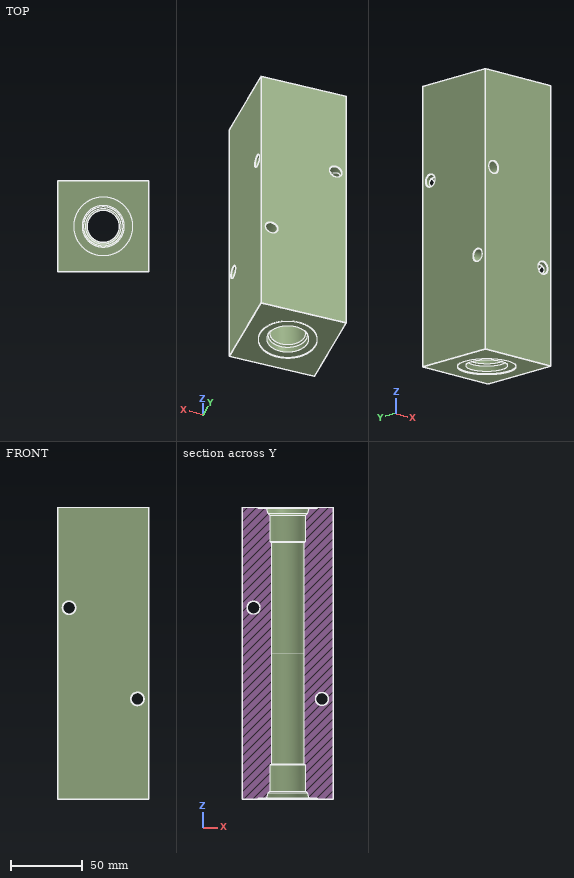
import cadquery as cq
import math

block_side = 63.5
block_height = 203.2
edge_chamfer = 0.25

spotface_diameter = 41.0
spotface_depth = 0.76
seal_mouth_diameter = 29.2
seal_seat_depth = 3.5
seal_half_angle = 15
thread_bore_diameter = 24.7
thread_bore_depth = 23.0
seat_half_angle = 45
drill_half_angle = 59
through_bore_diameter = 22.2

mount_hole_diameter = 8.73
mount_hole_chamfer = 0.4
mount_edge_distance = 7.94
mount_hole_spacing = 63.5

mount_offset = block_side / 2 - mount_edge_distance


def cone_length(large_radius, small_radius, half_angle):
    """Axial length of a cone between two radii."""
    return (large_radius - small_radius) / math.tan(math.radians(half_angle))


def make_port_cutter():
    """Revolved void from the top face, through the port, down to mid-height."""
    spotface_radius = spotface_diameter / 2
    mouth_radius = seal_mouth_diameter / 2
    thread_radius = thread_bore_diameter / 2
    bore_radius = through_bore_diameter / 2

    top = block_height / 2
    spotface_z = top - spotface_depth
    seat_z = spotface_z - seal_seat_depth
    seat_radius = mouth_radius - seal_seat_depth * math.tan(math.radians(seal_half_angle))
    thread_start_z = seat_z - cone_length(seat_radius, thread_radius, seat_half_angle)
    thread_end_z = spotface_z - thread_bore_depth
    bore_start_z = thread_end_z - cone_length(thread_radius, bore_radius, drill_half_angle)

    return (
        cq.Workplane("YZ")
        .moveTo(0, top)
        .lineTo(spotface_radius, top)
        .lineTo(spotface_radius, spotface_z)
        .lineTo(mouth_radius, spotface_z)
        .lineTo(seat_radius, seat_z)
        .lineTo(thread_radius, thread_start_z)
        .lineTo(thread_radius, thread_end_z)
        .lineTo(bore_radius, bore_start_z)
        .lineTo(bore_radius, 0)
        .lineTo(0, 0)
        .close()
        .revolve(360, (0, 0, 0), (0, 1, 0))
    )


def make_mount_hole():
    """Void of one through hole along Z, centred on the origin, chamfered at both mouths."""
    radius = mount_hole_diameter / 2
    mouth_radius = radius + mount_hole_chamfer
    half_length = block_side / 2
    straight_half_length = half_length - mount_hole_chamfer
    return (
        cq.Workplane("XZ")
        .moveTo(0, half_length)
        .lineTo(mouth_radius, half_length)
        .lineTo(radius, straight_half_length)
        .lineTo(radius, -straight_half_length)
        .lineTo(mouth_radius, -half_length)
        .lineTo(0, -half_length)
        .close()
        .revolve(360, (0, 0, 0), (0, 1, 0))
    )


def make_block():
    """Square block with every outer edge lightly broken."""
    block = cq.Workplane("XY").box(block_side, block_side, block_height)
    return block.edges().chamfer(edge_chamfer)


result = make_block()

port_cutter = make_port_cutter()
result = result.cut(port_cutter)
result = result.cut(port_cutter.mirror("XY"))

hole_along_y = make_mount_hole().rotate((0, 0, 0), (1, 0, 0), 90)
hole_along_x = make_mount_hole().rotate((0, 0, 0), (0, 1, 0), 90)
for side in (1, -1):
    level = side * mount_hole_spacing / 2
    offset = side * mount_offset
    result = result.cut(hole_along_y.translate((-offset, 0, level)))
    result = result.cut(hole_along_x.translate((0, offset, level)))